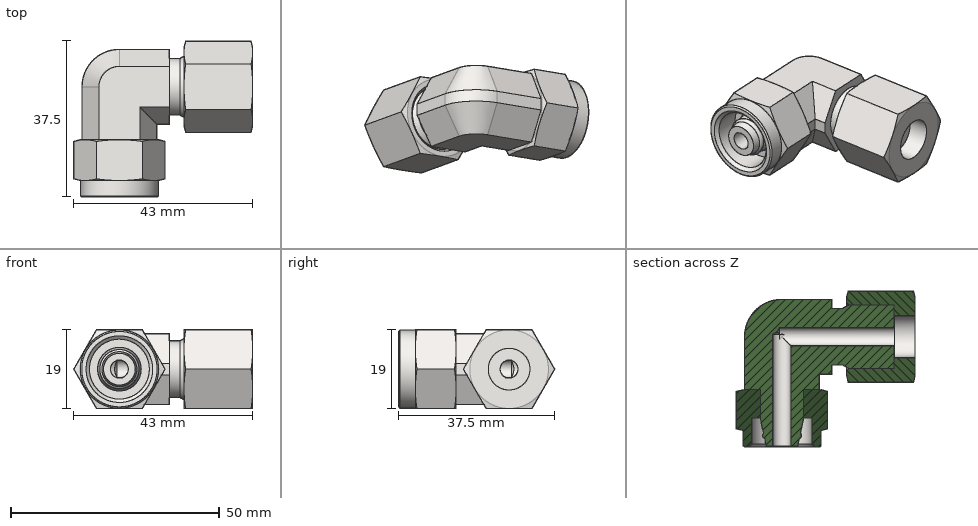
import cadquery as cq
import math


block_height = 17.0
block_width = 18.0
half_height = block_height / 2
half_width = block_width / 2
top_half_width = half_height * math.tan(math.radians(30))
side_half_height = half_height - (half_width - top_half_width) * math.tan(math.radians(60))
block_end_x = 12.0

hex_flats = 19.0
hex_corner_radius = hex_flats / 2 / math.cos(math.radians(30))
chamfer_circle_radius = 9.45
chamfer_angle = 15.0
tube_nut_start_x = 15.5
tube_nut_end_x = 32.0
tube_nut_shoulder_x = 27.0
tube_hole_radius = 5.0
tube_nut_mouth_radius = 8.2

neck_radius = 6.83
neck_end_x = 14.55
spigot_cone_angle = 30.0
thread_radius = 7.65
cone_end_x = neck_end_x + (thread_radius - neck_radius) / math.tan(math.radians(spigot_cone_angle))

swivel_start = 12.7
swivel_hex_end = 22.5
swivel_end = 26.5
swivel_floor = 19.5
collar_radius = 9.4
collar_chamfer = 0.35
recess_radius = 7.19
countersink_radius = 8.0
countersink_depth = countersink_radius - recess_radius

cone_tip = 26.25
cone_tip_radius = 3.81
cone_half_angle = 12.0
cone_base_radius = cone_tip_radius + (cone_tip - swivel_floor) * math.tan(math.radians(cone_half_angle))
bead_section_radius = 0.75
bead_outer_radius = 4.71
bead_centre_radius = bead_outer_radius - bead_section_radius
bead_position = 23.7

bore_radius = 2.14
bore_overrun = 0.56
drill_tip_half_angle = 59.0
drill_tip_length = bore_radius / math.tan(math.radians(drill_tip_half_angle))


def along_minus_y(solid):
    """Turn a solid built along +X so that it points along -Y."""
    return solid.rotate((0, 0, 0), (0, 0, 1), -90)


def revolve_about_x(points):
    """Revolve a closed outline of (axial, radial) points about the X axis."""
    return cq.Workplane("XY").polyline(points).close().revolve(360, (0, 0, 0), (1, 0, 0))


def cylinder(start, end, radius):
    """Round bar along X."""
    return cq.Workplane("YZ").workplane(offset=start).circle(radius).extrude(end - start)


def block_section(plane):
    """Octagonal section of the elbow block, centred on a port axis."""
    corners = [
        (half_width, side_half_height),
        (top_half_width, half_height),
        (-top_half_width, half_height),
        (-half_width, side_half_height),
        (-half_width, -side_half_height),
        (-top_half_width, -half_height),
        (top_half_width, -half_height),
        (half_width, -side_half_height),
    ]
    return cq.Workplane(plane).polyline(corners).close()


def chamfered_hexagon(start, end):
    """Hexagon bar along X, flats facing +Z and -Z, with a conical chamfer at both ends."""
    bar = (
        cq.Workplane("YZ")
        .workplane(offset=start)
        .polygon(6, 2 * hex_corner_radius)
        .extrude(end - start)
    )
    reach = hex_corner_radius + 1.0
    setback = (reach - chamfer_circle_radius) * math.tan(math.radians(chamfer_angle))
    envelope = revolve_about_x([
        (start, 0),
        (start, chamfer_circle_radius),
        (start + setback, reach),
        (end - setback, reach),
        (end, chamfer_circle_radius),
        (end, 0),
    ])
    return bar.intersect(envelope)


def drilled_bore(end):
    """Flow bore along X with a conical drill tip just past the origin."""
    return revolve_about_x([
        (-bore_overrun - drill_tip_length, 0),
        (-bore_overrun, bore_radius),
        (end, bore_radius),
        (end, 0),
    ])


def make_elbow():
    x_arm = block_section("YZ").extrude(block_end_x)
    y_arm = block_section("XZ").extrude(swivel_start)
    corner = (
        cq.Workplane("XZ")
        .polyline([
            (0, half_height),
            (-top_half_width, half_height),
            (-half_width, side_half_height),
            (-half_width, -side_half_height),
            (-top_half_width, -half_height),
            (0, -half_height),
        ])
        .close()
        .revolve(360, (0, 0, 0), (0, 1, 0))
    )
    spigot = revolve_about_x([
        (0, 0),
        (0, neck_radius),
        (neck_end_x, neck_radius),
        (cone_end_x, thread_radius),
        (tube_nut_shoulder_x, thread_radius),
        (tube_nut_shoulder_x, 0),
    ])
    sealing_cone = revolve_about_x([
        (0, 0),
        (0, cone_base_radius),
        (swivel_floor, cone_base_radius),
        (cone_tip, cone_tip_radius),
        (cone_tip, 0),
    ])
    bead = (
        cq.Workplane("XY")
        .moveTo(bead_position, bead_centre_radius)
        .circle(bead_section_radius)
        .revolve(360, (0, 0, 0), (1, 0, 0))
    )
    body = x_arm.union(y_arm).union(corner).union(spigot)
    body = body.union(along_minus_y(sealing_cone.union(bead)))
    return body.cut(drilled_bore(tube_nut_shoulder_x)).cut(along_minus_y(drilled_bore(cone_tip)))


def make_tube_nut():
    nut = chamfered_hexagon(tube_nut_start_x, tube_nut_end_x)
    mouth_depth = tube_nut_mouth_radius - thread_radius
    opening = revolve_about_x([
        (tube_nut_start_x, 0),
        (tube_nut_start_x, tube_nut_mouth_radius),
        (tube_nut_start_x + mouth_depth, thread_radius),
        (tube_nut_shoulder_x, thread_radius),
        (tube_nut_shoulder_x, tube_hole_radius),
        (tube_nut_end_x, tube_hole_radius),
        (tube_nut_end_x, 0),
    ])
    return nut.cut(opening)


def make_swivel_nut():
    collar = cylinder(swivel_start, swivel_end, collar_radius).faces(">X").chamfer(collar_chamfer)
    nut = chamfered_hexagon(swivel_start, swivel_hex_end).union(collar)
    opening = revolve_about_x([
        (swivel_start, 0),
        (swivel_start, cone_base_radius),
        (swivel_floor, cone_base_radius),
        (swivel_floor, recess_radius),
        (swivel_end - countersink_depth, recess_radius),
        (swivel_end, countersink_radius),
        (swivel_end, 0),
    ])
    return along_minus_y(nut.cut(opening))


elbow = make_elbow()
tube_nut = make_tube_nut()
swivel_nut = make_swivel_nut()

result = cq.Compound.makeCompound([elbow.val(), tube_nut.val(), swivel_nut.val()])